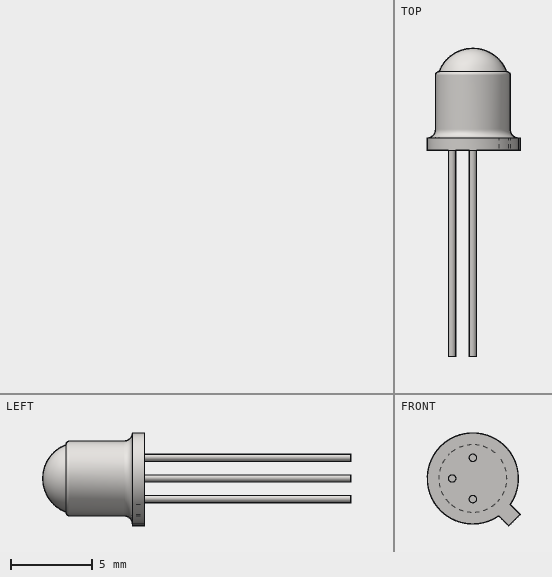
import cadquery as cq
import math

total_length = 18.96
lead_length = 12.68
lead_diameter = 0.45
lead_offset = 1.27

flange_radius = 2.8
flange_thickness = 0.75
body_radius = 2.31
cove_radius = flange_radius - body_radius
shoulder_radius = 0.23
dome_base_radius = body_radius - shoulder_radius
dome_height = 1.45

tab_width = 1.0
tab_reach = 3.62
tab_angle = 45.0

flange_top = flange_thickness
cove_top = flange_top + cove_radius
dome_tip = total_length - lead_length
shoulder_top = dome_tip - dome_height
shoulder_bottom = shoulder_top - shoulder_radius

dome_radius = (dome_base_radius**2 + dome_height**2) / (2 * dome_height)
dome_center = dome_tip - dome_radius
dome_half_angle = math.asin(dome_base_radius / dome_radius) / 2
dome_midpoint = (
    dome_radius * math.sin(dome_half_angle),
    dome_center + dome_radius * math.cos(dome_half_angle),
)


def make_body():
    """Revolve the flange, cove, barrel, rounded shoulder and dome."""
    diagonal = math.sqrt(0.5)
    cove_midpoint = (
        flange_radius - cove_radius * diagonal,
        cove_top - cove_radius * diagonal,
    )
    shoulder_midpoint = (
        dome_base_radius + shoulder_radius * diagonal,
        shoulder_bottom + shoulder_radius * diagonal,
    )
    return (
        cq.Workplane("XY")
        .lineTo(flange_radius, 0)
        .lineTo(flange_radius, flange_top)
        .threePointArc(cove_midpoint, (body_radius, cove_top))
        .lineTo(body_radius, shoulder_bottom)
        .threePointArc(shoulder_midpoint, (dome_base_radius, shoulder_top))
        .threePointArc(dome_midpoint, (0, dome_tip))
        .close()
        .revolve(360, (0, 0, 0), (0, 1, 0))
    )


def make_tab():
    """Radial index tab, as thick as the flange."""
    return (
        cq.Workplane("XY")
        .box(tab_reach, flange_thickness, tab_width, centered=(False, False, True))
        .rotate((0, 0, 0), (0, 1, 0), tab_angle)
    )


def make_leads():
    """Three round leads, a quarter turn apart."""
    positions = [(0, lead_offset), (-lead_offset, 0), (0, -lead_offset)]
    return (
        cq.Workplane("XZ")
        .pushPoints(positions)
        .circle(lead_diameter / 2)
        .extrude(lead_length)
    )


result = make_body().union(make_tab()).union(make_leads())